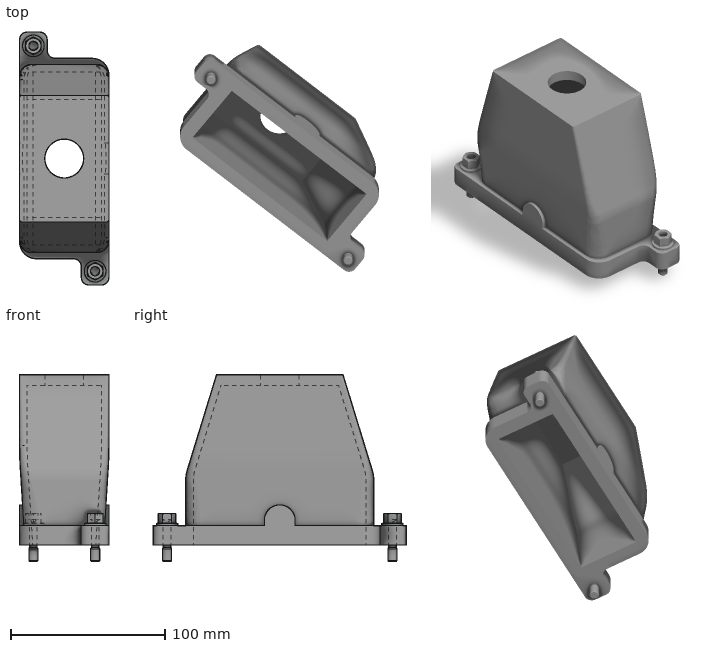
import cadquery as cq
import math

PLATE_HEIGHT = 12.7
WIDTH = 58.0
HALF_WIDTH = WIDTH / 2
PLATE_LENGTH = 130.0
OVERALL_LENGTH = 164.0
LUG_WIDTH = 18.0
LUG_RADIUS = 5.0
PLATE_CORNER_RADIUS = 11.0

HOOD_TOP = 110.5
HOOD_HALF_LENGTH = 61.0
ROOF_HALF_LENGTH = 41.0
SHOULDER_Z = 45.3
SHOULDER_RADIUS = 22.0
WAIST_Z = 56.7
WAIST_RADIUS = 217.0
FOOT_HALF_WIDTH = 26.2
CORNER_RADIUS_FOOT = 10.0
CORNER_RADIUS_BELOW_SHOULDER = 6.7
CORNER_RADIUS_ABOVE_SHOULDER = 5.3
CORNER_RADIUS_BELOW_WAIST = 4.9
CORNER_RADIUS_ABOVE_WAIST = 3.1
CORNER_RADIUS_ROOF = 1.5

WALL = 5.0
ROOF_THICKNESS = 7.0
CABLE_HOLE_DIAMETER = 25.0

PAD_RADIUS = 10.0
PAD_CENTER_Z = 16.1

SCREW_X = HALF_WIDTH - LUG_WIDTH / 2
SCREW_Y = OVERALL_LENGTH / 2 - LUG_WIDTH / 2
SCREW_PLACES = [(-SCREW_X, SCREW_Y), (SCREW_X, -SCREW_Y)]
SHANK_DIAMETER = 5.0
THREAD_DIAMETER = 6.0
NECK_LENGTH = 1.5
NECK_TAPER = 0.8
SCREW_REACH = 10.5
TIP_CHAMFER = 0.5
FLANGE_DIAMETER = 14.0
FLANGE_EDGE_THICKNESS = 1.4
FLANGE_THICKNESS = 1.8
HEX_FLATS = 10.0
HEX_HEIGHT = 6.2
HEX_CHAMFER_ANGLE = 30.0
SOCKET_DIAMETER = 6.0
SOCKET_DEPTH = 4.0
SOCKET_TIP_ANGLE = 118.0


def make_plate():
    lug_y = OVERALL_LENGTH / 2
    body_y = PLATE_LENGTH / 2
    lug_inner_x = HALF_WIDTH - LUG_WIDTH
    half = [(-HALF_WIDTH, lug_y), (-lug_inner_x, lug_y), (-lug_inner_x, body_y), (HALF_WIDTH, body_y)]
    outline = half + [(-x, -y) for x, y in half]
    plate = cq.Workplane("XY").polyline(outline).close().extrude(PLATE_HEIGHT)
    for turn in (1, -1):
        for index, (x, y) in enumerate(half):
            radius = PLATE_CORNER_RADIUS if index == len(half) - 1 else LUG_RADIUS
            corner = (turn * x, turn * y, PLATE_HEIGHT / 2)
            plate = plate.edges(cq.selectors.NearestToPointSelector(corner)).fillet(radius)
    return plate


def make_tapered_block(inset, bottom, top):
    """Block bounded by the hood's four walls moved in by inset, between two heights."""
    end_slope = (HOOD_HALF_LENGTH - ROOF_HALF_LENGTH) / (HOOD_TOP - SHOULDER_Z)
    side_slope = (HALF_WIDTH - FOOT_HALF_WIDTH) / (WAIST_Z - PLATE_HEIGHT)
    half_length = HOOD_HALF_LENGTH - inset
    half_width = HALF_WIDTH - inset
    top_half_length = half_length - end_slope * (top - SHOULDER_Z)
    bottom_half_width = half_width - side_slope * (WAIST_Z - bottom)

    def prism(plane, depth, foot, bend, roof, bend_radius):
        """Symmetric profile whose sides go from foot to bend to roof, rounded at the bend."""
        lower_lean = math.atan2(bend[0] - foot[0], bend[1] - foot[1])
        upper_lean = math.atan2(roof[0] - bend[0], roof[1] - bend[1])
        half_turn = (lower_lean - upper_lean) / 2
        middle_lean = (lower_lean + upper_lean) / 2
        tangent = bend_radius * math.tan(half_turn)
        sagitta = bend_radius / math.cos(half_turn) - bend_radius
        start = (bend[0] - tangent * math.sin(lower_lean), bend[1] - tangent * math.cos(lower_lean))
        middle = (bend[0] - sagitta * math.cos(middle_lean), bend[1] + sagitta * math.sin(middle_lean))
        end = (bend[0] + tangent * math.sin(upper_lean), bend[1] + tangent * math.cos(upper_lean))

        def mirrored(point):
            return (-point[0], point[1])

        return (
            cq.Workplane(plane).moveTo(*foot).lineTo(*start).threePointArc(middle, end).lineTo(*roof)
            .lineTo(*mirrored(roof)).lineTo(*mirrored(end))
            .threePointArc(mirrored(middle), mirrored(start)).lineTo(*mirrored(foot))
            .close().extrude(depth, both=True)
        )

    lengthwise = prism("YZ", WIDTH, (half_length, bottom), (half_length, SHOULDER_Z),
                       (top_half_length, top), SHOULDER_RADIUS)
    crosswise = prism("XZ", OVERALL_LENGTH, (bottom_half_width, bottom), (half_width, WAIST_Z),
                      (half_width, top), WAIST_RADIUS)
    return lengthwise.intersect(crosswise)


def round_corners(block):
    """Round the four corner edges with a radius that shrinks from the foot to the roof."""
    radii = (CORNER_RADIUS_FOOT, CORNER_RADIUS_BELOW_SHOULDER, CORNER_RADIUS_ABOVE_SHOULDER,
             CORNER_RADIUS_BELOW_WAIST, CORNER_RADIUS_ABOVE_WAIST, CORNER_RADIUS_ROOF)
    solid = block.val()
    fillet = cq.occ_impl.shapes.BRepFilletAPI_MakeFillet(solid.wrapped)
    for contour, (side_x, side_y) in enumerate([(-1, -1), (-1, 1), (1, -1), (1, 1)], start=1):
        corner = [e for e in solid.Edges()
                  if e.Center().x * side_x > FOOT_HALF_WIDTH / 2
                  and e.Center().y * side_y > ROOF_HALF_LENGTH / 2]
        fillet.Add(corner[0].wrapped)
        ends = {round(v.Z, 3): v for e in corner for v in e.Vertices()}
        for height, radius in zip(sorted(ends), radii):
            fillet.SetRadius(radius, contour, ends[height].wrapped)
    return cq.Workplane(cq.Shape.cast(fillet.Shape())).solids()


def make_pads():
    """Both pads as one block across the full width; the cavity later separates them."""
    return (
        cq.Workplane("YZ").moveTo(-PAD_RADIUS, 0).lineTo(-PAD_RADIUS, PAD_CENTER_Z)
        .threePointArc((0, PAD_CENTER_Z + PAD_RADIUS), (PAD_RADIUS, PAD_CENTER_Z))
        .lineTo(PAD_RADIUS, 0).close().extrude(HALF_WIDTH, both=True)
    )


def make_hood():
    shell = round_corners(make_tapered_block(0, PLATE_HEIGHT, HOOD_TOP))
    cavity = make_tapered_block(WALL, 0, HOOD_TOP - ROOF_THICKNESS)
    cable_hole = cq.Workplane("XY").circle(CABLE_HOLE_DIAMETER / 2).extrude(HOOD_TOP)
    screw_holes = (
        cq.Workplane("XY").pushPoints(SCREW_PLACES).circle(SHANK_DIAMETER / 2).extrude(PLATE_HEIGHT)
    )
    hood = make_plate().union(make_pads()).union(shell)
    return hood.cut(cavity).cut(cable_hole).cut(screw_holes)


def make_screw(place):
    """Captive hex screw with a flange, standing on the plate at the given XY place."""
    shank = SHANK_DIAMETER / 2
    thread = THREAD_DIAMETER / 2
    flange_top = PLATE_HEIGHT + FLANGE_THICKNESS
    head_top = flange_top + HEX_HEIGHT
    body = (
        cq.Workplane("XZ")
        .polyline([
            (0, -SCREW_REACH),
            (thread - TIP_CHAMFER, -SCREW_REACH),
            (thread, -SCREW_REACH + TIP_CHAMFER),
            (thread, -NECK_LENGTH - NECK_TAPER),
            (shank, -NECK_LENGTH),
            (shank, PLATE_HEIGHT),
            (FLANGE_DIAMETER / 2, PLATE_HEIGHT),
            (FLANGE_DIAMETER / 2, PLATE_HEIGHT + FLANGE_EDGE_THICKNESS),
            (HEX_FLATS / 2, flange_top),
            (0, flange_top),
        ])
        .close().revolve(360, (0, 0), (0, 1))
    )

    corner_radius = HEX_FLATS / 2 / math.cos(math.pi / 6)
    chamfer_drop = (corner_radius - HEX_FLATS / 2) * math.tan(math.radians(HEX_CHAMFER_ANGLE))
    head = (
        cq.Workplane("XY", origin=(0, 0, PLATE_HEIGHT)).polygon(6, 2 * corner_radius)
        .extrude(head_top - PLATE_HEIGHT).rotate((0, 0, 0), (0, 0, 1), 90)
    )
    chamfer_envelope = (
        cq.Workplane("XZ")
        .polyline([
            (0, PLATE_HEIGHT),
            (corner_radius, PLATE_HEIGHT),
            (corner_radius, head_top - chamfer_drop),
            (HEX_FLATS / 2, head_top),
            (0, head_top),
        ])
        .close().revolve(360, (0, 0), (0, 1))
    )

    socket_radius = SOCKET_DIAMETER / 2
    tip_height = socket_radius / math.tan(math.radians(SOCKET_TIP_ANGLE / 2))
    socket = (
        cq.Workplane("XZ")
        .polyline([
            (0, head_top),
            (socket_radius, head_top),
            (socket_radius, head_top - SOCKET_DEPTH),
            (0, head_top - SOCKET_DEPTH - tip_height),
        ])
        .close().revolve(360, (0, 0), (0, 1))
    )
    screw = body.union(head.intersect(chamfer_envelope)).cut(socket)
    return screw.translate((*place, 0))


hood = make_hood()
screws = [make_screw(place) for place in SCREW_PLACES]
result = cq.Compound.makeCompound([hood.val(), *[screw.val() for screw in screws]])